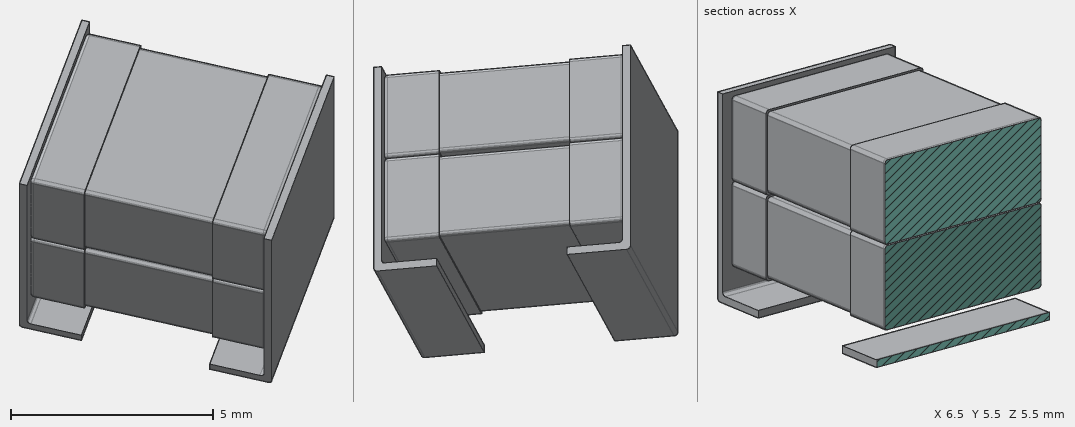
import cadquery as cq


overall_length = 6.5
frame_width = 5.5
frame_height = 5.5
sheet_thickness = 0.2
foot_length = 1.6
bend_radius = 0.1

chip_count = 2
terminal_width = 5.0
terminal_height = 2.25
standoff = 0.905
terminal_step = 0.05
edge_radius = 0.1

frame_outer_x = overall_length / 2
frame_inner_x = frame_outer_x - sheet_thickness
terminal_inner_x = frame_outer_x - foot_length
terminal_length = frame_inner_x - terminal_inner_x
ceramic_length = 2 * terminal_inner_x
ceramic_width = terminal_width - 2 * terminal_step
ceramic_height = terminal_height - 2 * terminal_step


def make_lead_frame(side):
    """L-shaped sheet with its foot turned inward; side is -1 for left, +1 for right."""
    outline = [
        (side * frame_outer_x, 0),
        (side * frame_outer_x, frame_height),
        (side * frame_inner_x, frame_height),
        (side * frame_inner_x, sheet_thickness),
        (side * terminal_inner_x, sheet_thickness),
        (side * terminal_inner_x, 0),
    ]
    frame = cq.Workplane("XZ").polyline(outline).close().extrude(frame_width / 2, both=True)
    outer_bend = cq.selectors.NearestToPointSelector((side * frame_outer_x, 0, 0))
    inner_bend = cq.selectors.NearestToPointSelector((side * frame_inner_x, 0, sheet_thickness))
    frame = frame.edges(outer_bend).fillet(bend_radius)
    return frame.edges(inner_bend).fillet(bend_radius)


def make_ceramic(center_z):
    """Ceramic block between two terminals, rounded along its length."""
    block = cq.Workplane("XY").box(ceramic_length, ceramic_width, ceramic_height)
    return block.edges("|X").fillet(edge_radius).translate((0, 0, center_z))


def make_terminal(side, center_z):
    """Solid end terminal, rounded on every edge except those facing the ceramic."""
    block = cq.Workplane("XY").box(terminal_length, terminal_width, terminal_height)
    outer_face = ">X" if side > 0 else "<X"
    block = block.edges(f"|X or {outer_face}").fillet(edge_radius)
    center_x = side * (terminal_inner_x + terminal_length / 2)
    return block.translate((center_x, 0, center_z))


sides = (-1, 1)
chip_centers_z = [standoff + (level + 0.5) * terminal_height for level in range(chip_count)]

lead_frames = [make_lead_frame(side) for side in sides]
ceramics = [make_ceramic(center_z) for center_z in chip_centers_z]
terminals = [make_terminal(side, center_z) for center_z in chip_centers_z for side in sides]

result = cq.Compound.makeCompound([body.solids().val() for body in lead_frames + ceramics + terminals])